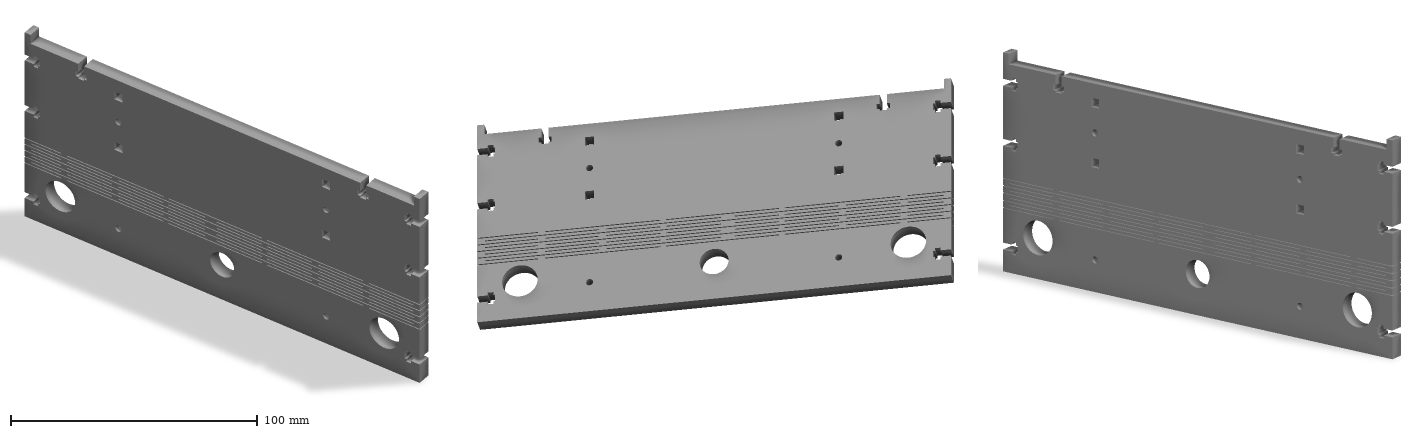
import cadquery as cq

LENGTH = 195.8
THICKNESS = 6.0
HEIGHT = 93.5
HALF_LENGTH = LENGTH / 2

TAB_WIDTH = 3.0
TAB_HEIGHT = 4.5
TOP_EDGE_Z = HEIGHT - TAB_HEIGHT

BOLT_WIDTH = 3.0
BOLT_DEPTH = 7.5
NUT_WIDTH = 5.5
NUT_LENGTH = 2.4
NUT_DEPTH = 4.3
UPPER_SLOT_Z = 80.7
MIDDLE_SLOT_Z = 55.0
LOWER_SLOT_Z = 10.8
TOP_SLOT_X = 70.0

COLUMN_X = 51.5
SQUARE_SIZE = 4.0
PIN_DIAMETER = 3.0
UPPER_PIN_Z = (UPPER_SLOT_Z + MIDDLE_SLOT_Z) / 2
LOWER_PIN_Z = 13.7

ROUND_HOLE_Z = 17.6
END_HOLE_X = 80.3
END_HOLE_DIAMETER = 14.7
MIDDLE_HOLE_DIAMETER = 12.0

HINGE_Z = 33.5
HINGE_ROWS = 9
ROW_PITCH = 1.5
CUT_WIDTH = 0.4
CUT_MARGIN = 3.1
OPEN_ROW_BRIDGES = ((-78.5, 3.0), (-28.0, 2.4), (21.0, 2.4), (71.3, 3.0))
CLOSED_ROW_BRIDGES = ((-53.0, 3.0), (-5.7, 5.7), (46.0, 3.0))


def block(x_start, x_end, z_start, z_end):
    """A block through the full thickness of the plate."""
    size_x = x_end - x_start
    size_z = z_end - z_start
    solid = cq.Workplane("XY").box(size_x, THICKNESS, size_z, centered=False)
    return solid.translate((x_start, 0, z_start))


def side_slot(z):
    """A T-slot running in from the left edge at height z."""
    left = -HALF_LENGTH
    channel = block(left, left + BOLT_DEPTH, z - BOLT_WIDTH / 2, z + BOLT_WIDTH / 2)
    nut_start = left + NUT_DEPTH
    return channel.union(block(nut_start, nut_start + NUT_LENGTH, z - NUT_WIDTH / 2, z + NUT_WIDTH / 2))


def top_slot(x):
    """A T-slot running down from the top edge at x."""
    channel = block(x - BOLT_WIDTH / 2, x + BOLT_WIDTH / 2, TOP_EDGE_Z - BOLT_DEPTH, TOP_EDGE_Z)
    nut_top = TOP_EDGE_Z - NUT_DEPTH
    return channel.union(block(x - NUT_WIDTH / 2, x + NUT_WIDTH / 2, nut_top - NUT_LENGTH, nut_top))


def square_hole(x, z):
    half = SQUARE_SIZE / 2
    return block(x - half, x + half, z - half, z + half)


def round_hole(x, z, diameter):
    return cq.Workplane("XZ").center(x, z).circle(diameter / 2).extrude(-THICKNESS)


def hinge_row(z, x_limit, bridges):
    """The cuts of one hinge row, from -x_limit to x_limit, leaving the bridges standing."""
    cuts = []
    start = -x_limit
    for centre, width in bridges:
        cuts.append(block(start, centre - width / 2, z - CUT_WIDTH / 2, z + CUT_WIDTH / 2))
        start = centre + width / 2
    cuts.append(block(start, x_limit, z - CUT_WIDTH / 2, z + CUT_WIDTH / 2))
    return cuts


def hinge_cuts():
    cuts = []
    for row in range(HINGE_ROWS):
        z = HINGE_Z + (row - (HINGE_ROWS - 1) / 2) * ROW_PITCH
        if row % 2 == 0:
            cuts += hinge_row(z, HALF_LENGTH, OPEN_ROW_BRIDGES)
        else:
            cuts += hinge_row(z, HALF_LENGTH - CUT_MARGIN, CLOSED_ROW_BRIDGES)
    return cuts


def edge_cuts():
    """The recess between the tabs and all the T-slots."""
    tab_inner_x = HALF_LENGTH - TAB_WIDTH
    cuts = [block(-tab_inner_x, tab_inner_x, TOP_EDGE_Z, HEIGHT)]
    for z in (UPPER_SLOT_Z, MIDDLE_SLOT_Z, LOWER_SLOT_Z):
        slot = side_slot(z)
        cuts += [slot, slot.mirror("YZ")]
    for x in (-TOP_SLOT_X, TOP_SLOT_X):
        cuts.append(top_slot(x))
    return cuts


def hole_cuts():
    cuts = [round_hole(0, ROUND_HOLE_Z, MIDDLE_HOLE_DIAMETER)]
    for side in (-1, 1):
        cuts.append(round_hole(side * END_HOLE_X, ROUND_HOLE_Z, END_HOLE_DIAMETER))
        for z in (UPPER_SLOT_Z, MIDDLE_SLOT_Z):
            cuts.append(square_hole(side * COLUMN_X, z))
        for z in (UPPER_PIN_Z, LOWER_PIN_Z):
            cuts.append(round_hole(side * COLUMN_X, z, PIN_DIAMETER))
    return cuts


plate = block(-HALF_LENGTH, HALF_LENGTH, 0, HEIGHT)
all_cuts = [cut.val() for cut in edge_cuts() + hole_cuts() + hinge_cuts()]
result = cq.Workplane(plate.val().cut(*all_cuts).Solids()[0])